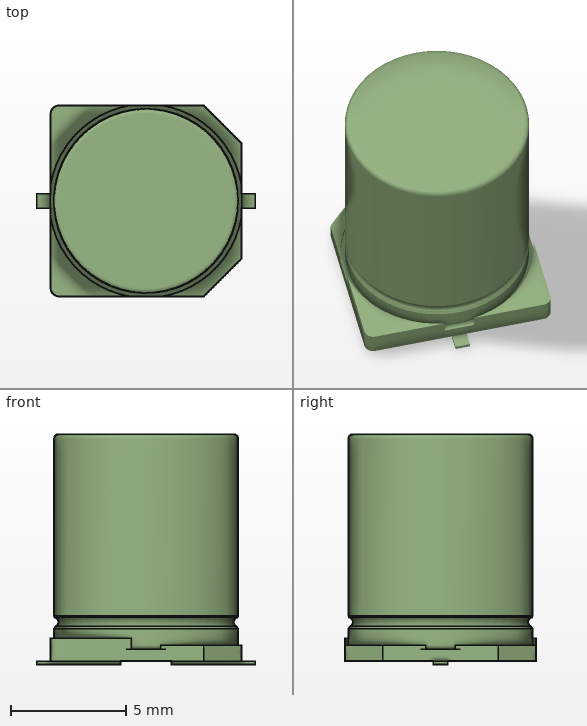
import cadquery as cq

total_height = 10.0
lead_span = 9.5
base_side = 8.3

lead_thickness = 0.15
lead_width = 0.64
lead_inner_end = 1.1

high_top = 1.15
low_top = 0.85
corner_radius = 0.4
corner_chamfer = 1.65

recess_floor = 0.66
recess_radius = 4.2

can_radius = 4.0
can_edge_radius = 0.2
groove_bottom = 1.55
groove_lip_height = 0.12
groove_lip_inset = 0.08
groove_waist = 1.88
groove_depth = 0.19
groove_top = 2.05
groove_top_edge = 0.07
groove_top_inset = 0.03


def make_base():
    """Two-level square base: round corners on -X, chamfered corners on +X."""
    base = (
        cq.Workplane("XY")
        .workplane(offset=lead_thickness)
        .rect(base_side, base_side)
        .extrude(high_top - lead_thickness)
    )
    base = base.edges("|Z and <X").fillet(corner_radius)
    base = base.edges("|Z and >X").chamfer(corner_chamfer)
    upper_half = (
        cq.Workplane("XY")
        .workplane(offset=low_top)
        .center(base_side / 2, 0)
        .rect(base_side, base_side)
        .extrude(high_top - low_top)
    )
    recess = (
        cq.Workplane("XY")
        .workplane(offset=recess_floor)
        .circle(recess_radius)
        .extrude(high_top - recess_floor)
    )
    return base.cut(upper_half).cut(recess)


def make_can():
    """Revolved can with rounded ends and a crimped groove near the bottom."""
    lip_radius = can_radius - groove_lip_inset
    waist_radius = can_radius - groove_depth
    upper_lip_radius = can_radius - groove_top_inset
    profile = (
        cq.Workplane("XZ")
        .moveTo(0, recess_floor)
        .lineTo(can_radius, recess_floor)
        .lineTo(can_radius, groove_bottom)
        .lineTo(lip_radius, groove_bottom + groove_lip_height)
        .threePointArc((waist_radius, groove_waist), (upper_lip_radius, groove_top))
        .lineTo(can_radius, groove_top + groove_top_edge)
        .lineTo(can_radius, total_height)
        .lineTo(0, total_height)
        .close()
    )
    can = profile.revolve(360, (0, 0, 0), (0, 1, 0))
    return can.faces("<Z or >Z").edges().fillet(can_edge_radius)


def make_lead(side):
    """Flat lead with a round inner tip; side is -1 for -X and +1 for +X."""
    tip_radius = lead_width / 2
    tip_x = side * lead_inner_end
    straight_x = side * (lead_inner_end + tip_radius)
    outer_x = side * lead_span / 2
    return (
        cq.Workplane("XY")
        .moveTo(outer_x, -tip_radius)
        .lineTo(straight_x, -tip_radius)
        .threePointArc((tip_x, 0), (straight_x, tip_radius))
        .lineTo(outer_x, tip_radius)
        .close()
        .extrude(lead_thickness)
    )


result = make_base().union(make_can())
for lead_side in (-1, 1):
    result = result.union(make_lead(lead_side))